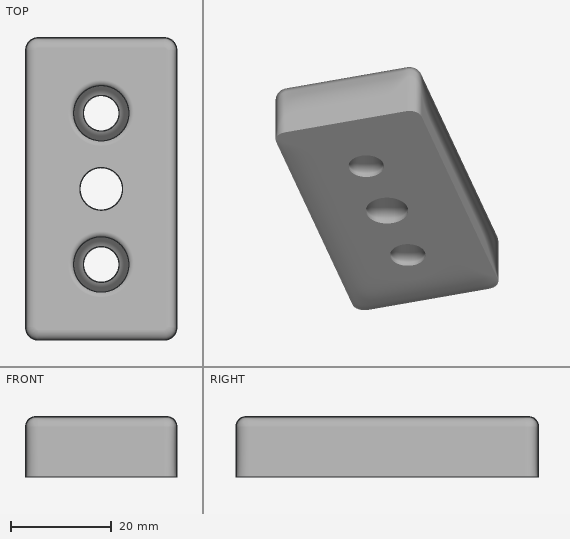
import cadquery as cq

length = 60.0
width = length / 2
height = length / 5
corner_radius = 2.5
top_fillet = 2.0

centre_hole_diameter = 8.4
screw_spacing = length / 2
screw_hole_diameter = 7.0
counterbore_diameter = 11.0
counterbore_depth = height / 2
counterbore_rim_fillet = 1.0


def rounded_block():
    """Block standing on Z = 0 with rounded upright edges and a rounded top edge."""
    block = cq.Workplane("XY").box(width, length, height, centered=(True, True, False))
    return block.edges("|Z").fillet(corner_radius).faces(">Z").edges().fillet(top_fillet)


def centre_hole():
    return cq.Workplane("XY").circle(centre_hole_diameter / 2).extrude(height)


def counterbored_hole(y):
    """Cutter for a through hole whose counterbore flares out to the top face."""
    bore_radius = counterbore_diameter / 2
    rim_radius = bore_radius + counterbore_rim_fillet
    screw_radius = screw_hole_diameter / 2
    floor_z = height - counterbore_depth
    profile = (
        cq.Workplane("XZ")
        .lineTo(screw_radius, 0)
        .lineTo(screw_radius, floor_z)
        .lineTo(bore_radius, floor_z)
        .lineTo(bore_radius, height - counterbore_rim_fillet)
        .radiusArc((rim_radius, height), counterbore_rim_fillet)
        .lineTo(0, height)
        .close()
    )
    return profile.revolve(360, (0, 0, 0), (0, 1, 0)).translate((0, y, 0))


result = rounded_block().cut(centre_hole())
for side in (-1, 1):
    result = result.cut(counterbored_hole(side * screw_spacing / 2))